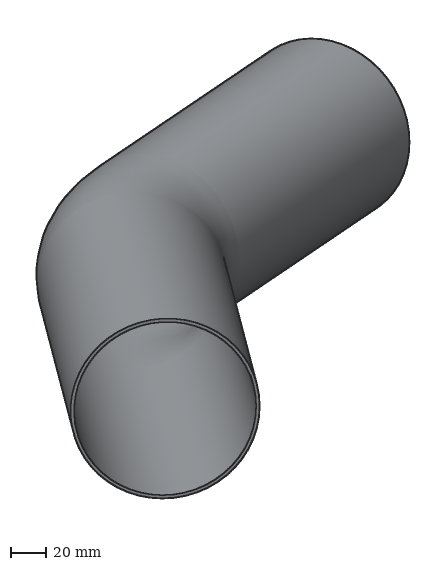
import cadquery as cq
import math

outer_diameter = 108.0
inner_diameter = 104.0
leg_length = 228.5
bend_radius = 129.5
bend_angle = 30.0


def point_on_bend(angle):
    """Centreline point after turning by angle degrees; the bend starts at the origin."""
    turn = math.radians(angle)
    return (bend_radius * (1 - math.cos(turn)), -bend_radius * math.sin(turn))


bend_end = point_on_bend(bend_angle)
end_direction = math.radians(bend_angle)
leg_end = (
    bend_end[0] + leg_length * math.sin(end_direction),
    bend_end[1] - leg_length * math.cos(end_direction),
)
centreline = (
    cq.Workplane("XY")
    .moveTo(0, leg_length)
    .lineTo(0, 0)
    .threePointArc(point_on_bend(bend_angle / 2), bend_end)
    .lineTo(*leg_end)
)

result = (
    cq.Workplane("XZ", origin=(0, leg_length, 0))
    .circle(outer_diameter / 2)
    .circle(inner_diameter / 2)
    .sweep(centreline)
)